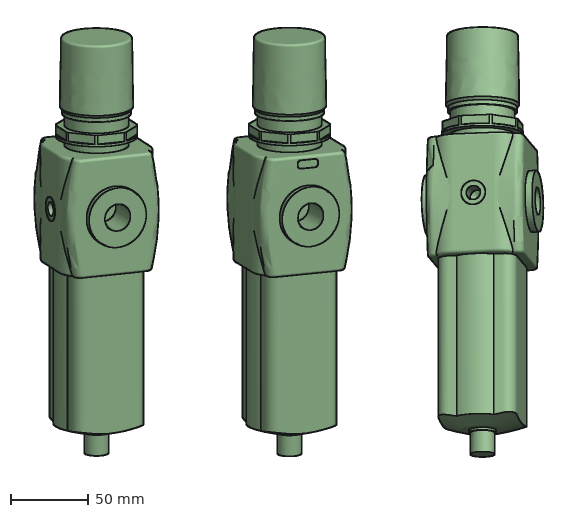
import cadquery as cq
import math


total_height = 279.6
drain_flange_bottom = 14.3
bowl_bottom = 16.0
body_bottom = 127.2
body_top = 207.0
nut_bottom = 212.8
collar_bottom = 228.2
collar_top = 231.0
knob_bottom = 233.0
body_height = body_top - body_bottom
port_level = (body_bottom + body_top) / 2

body_width = 63.8
body_depth = 65.0
bulge_drop = 3.5
bulge_half_height = 33.0
body_corner_radius = 5.3
body_edge_radius = 2.0
strip_half_width = 14.0
strip_side_radius = 16.0
strip_side_angle = 60.0

port_span = 73.0
port_diameter = 40.0
port_bore_diameter = 18.0
port_bore_depth = 25.2
gauge_seat_diameter = 16.0
gauge_seat_depth = 0.3
gauge_hole_diameter = 9.2
gauge_hole_depth = 14.0
drill_point_angle = 118.0
label_length = 14.3
label_height = 5.5
label_corner_radius = 2.2
label_depth = 0.5
label_level = 201.3

bowl_width = 51.7
bowl_depth = 57.0
bowl_side_flat = 34.5
bowl_corner_radius = 7.8
bowl_front_width = 24.3
bowl_front_radius = 24.3
bowl_floor_diameter = 28.8
bowl_rim_diameter = 50.3
bowl_rim_level = 19.3
bowl_cone_diameter = 67.0
bowl_cone_level = 22.5
drain_flange_diameter = 18.0
drain_diameter = 16.0

neck_diameter = 42.0
collar_diameter = 45.0
knob_bottom_diameter = 47.8
knob_middle_diameter = 47.3
knob_shoulder_diameter = 46.5
knob_top_diameter = 43.0
knob_edge_radius = (knob_shoulder_diameter - knob_top_diameter) / 2

nut_diameter = 53.0
nut_across_flats = 49.8
nut_flat_count = 8
washer_thickness = 1.7
nut_height = 7.5


def cylinder(diameter, bottom, top):
    return cq.Workplane("XY", origin=(0, 0, bottom)).circle(diameter / 2).extrude(top - bottom)


def make_bulged_block():
    """Block whose front and back bulge outward at mid height, with round corners."""
    peak = body_depth / 2
    arc_end = peak - bulge_drop
    arc_radius = (bulge_half_height**2 + bulge_drop**2) / (2 * bulge_drop)
    end_slope = bulge_half_height / (arc_radius - bulge_drop)
    half_height = body_height / 2
    end = arc_end - end_slope * (half_height - bulge_half_height)
    block = (
        cq.Workplane("YZ", origin=(-body_width / 2, 0, port_level))
        .moveTo(-end, -half_height)
        .lineTo(end, -half_height)
        .lineTo(arc_end, -bulge_half_height)
        .threePointArc((peak, 0), (arc_end, bulge_half_height))
        .lineTo(end, half_height)
        .lineTo(-end, half_height)
        .lineTo(-arc_end, bulge_half_height)
        .threePointArc((-peak, 0), (-arc_end, -bulge_half_height))
        .close()
        .extrude(body_width)
    )
    side_edges = block.faces("<X or >X").edges("not |Y")
    return side_edges.fillet(body_corner_radius)


def make_strip_column():
    """Upright column that carries the flat front and back strips and their rounded sides."""
    front = body_depth / 2

    def side_point(angle):
        x = strip_half_width + strip_side_radius * math.sin(math.radians(angle))
        y = front - strip_side_radius * (1 - math.cos(math.radians(angle)))
        return x, y

    mid_x, mid_y = side_point(strip_side_angle / 2)
    end_x, end_y = side_point(strip_side_angle)
    return (
        cq.Workplane("XY", origin=(0, 0, body_bottom))
        .moveTo(-strip_half_width, front)
        .lineTo(strip_half_width, front)
        .threePointArc((mid_x, mid_y), (end_x, end_y))
        .lineTo(end_x, -end_y)
        .threePointArc((mid_x, -mid_y), (strip_half_width, -front))
        .lineTo(-strip_half_width, -front)
        .threePointArc((-mid_x, -mid_y), (-end_x, -end_y))
        .lineTo(-end_x, end_y)
        .threePointArc((-mid_x, mid_y), (-strip_half_width, front))
        .close()
        .extrude(body_height)
    )


def make_body():
    body = make_bulged_block().union(make_strip_column())
    return body.faces("<Z or >Z").edges().fillet(body_edge_radius)


def make_ports():
    return (
        cq.Workplane("YZ", origin=(-port_span / 2, 0, port_level))
        .circle(port_diameter / 2)
        .extrude(port_span)
    )


def make_port_bore(side):
    """Blind bore into the port face on the given side of X: -1 for inlet, 1 for outlet."""
    return (
        cq.Workplane("YZ", origin=(side * port_span / 2, 0, port_level))
        .circle(port_bore_diameter / 2)
        .extrude(-side * port_bore_depth)
    )


def make_gauge_hole():
    """Shallow seat and drilled blind hole with a conical end, in the front strip."""
    front = -body_depth / 2
    radius = gauge_hole_diameter / 2
    seat_radius = gauge_seat_diameter / 2
    tip_depth = gauge_hole_depth + radius / math.tan(math.radians(drill_point_angle / 2))
    return (
        cq.Workplane("XY", origin=(0, 0, port_level))
        .moveTo(0, front)
        .lineTo(seat_radius, front)
        .lineTo(seat_radius, front + gauge_seat_depth)
        .lineTo(radius, front + gauge_seat_depth)
        .lineTo(radius, front + gauge_hole_depth)
        .lineTo(0, front + tip_depth)
        .close()
        .revolve(360, (0, 0), (0, 1))
    )


def make_label_recess():
    return (
        cq.Workplane("YZ", origin=(-body_width / 2, 0, label_level))
        .rect(label_length, label_height)
        .extrude(label_depth)
        .edges("|X")
        .fillet(label_corner_radius)
    )


def make_bowl():
    """Bowl with flat sides and bowed front and back, closed below by a shallow two-step cone."""
    half_flat = bowl_side_flat / 2
    half_front = bowl_front_width / 2
    ledge = half_flat + bowl_corner_radius
    block = (
        cq.Workplane("XY", origin=(0, 0, bowl_bottom))
        .rect(bowl_width, 2 * ledge)
        .extrude(body_bottom - bowl_bottom)
        .edges("|Z")
        .fillet(bowl_corner_radius)
    )
    bow_ledge = bowl_depth / 2 - bowl_front_radius + math.sqrt(bowl_front_radius**2 - half_front**2)
    bow = (
        cq.Workplane("XY", origin=(0, 0, bowl_bottom))
        .moveTo(-half_front, bow_ledge)
        .threePointArc((0, bowl_depth / 2), (half_front, bow_ledge))
        .lineTo(half_front, -bow_ledge)
        .threePointArc((0, -bowl_depth / 2), (-half_front, -bow_ledge))
        .close()
        .extrude(body_bottom - bowl_bottom)
    )
    envelope = (
        cq.Workplane("XZ")
        .moveTo(0, bowl_bottom)
        .lineTo(bowl_floor_diameter / 2, bowl_bottom)
        .lineTo(bowl_rim_diameter / 2, bowl_rim_level)
        .lineTo(bowl_cone_diameter / 2, bowl_cone_level)
        .lineTo(bowl_cone_diameter / 2, body_bottom)
        .lineTo(0, body_bottom)
        .close()
        .revolve(360, (0, 0), (0, 1))
    )
    return block.union(bow).intersect(envelope)


def make_drain():
    flange = cylinder(drain_flange_diameter, drain_flange_bottom, bowl_bottom)
    return cylinder(drain_diameter, 0, drain_flange_bottom).union(flange)


def make_neck_and_knob():
    """Round neck, collar and slightly barrelled knob as one turned shape."""
    top_radius = knob_top_diameter / 2
    shoulder_radius = knob_shoulder_diameter / 2
    shoulder = total_height - knob_edge_radius
    round_offset = knob_edge_radius * math.sqrt(0.5)
    return (
        cq.Workplane("XZ")
        .moveTo(0, body_top)
        .lineTo(neck_diameter / 2, body_top)
        .lineTo(neck_diameter / 2, collar_bottom)
        .lineTo(collar_diameter / 2, collar_bottom)
        .lineTo(collar_diameter / 2, collar_top)
        .lineTo(knob_bottom_diameter / 2, knob_bottom)
        .threePointArc((knob_middle_diameter / 2, (knob_bottom + shoulder) / 2), (shoulder_radius, shoulder))
        .threePointArc((top_radius + round_offset, shoulder + round_offset), (top_radius, total_height))
        .lineTo(0, total_height)
        .close()
        .revolve(360, (0, 0), (0, 1))
    )


def make_regulator():
    solid = make_body().union(make_ports()).union(make_bowl()).union(make_drain())
    solid = solid.union(make_neck_and_knob())
    for recess in (make_port_bore(-1), make_port_bore(1), make_gauge_hole(), make_label_recess()):
        solid = solid.cut(recess)
    return solid


def make_nut():
    """Ring nut: eight flats on a round blank above a thin round washer face."""
    nut_top = nut_bottom + nut_height
    octagon = (
        cq.Workplane("XY", origin=(0, 0, nut_bottom))
        .polygon(nut_flat_count, nut_across_flats, circumscribed=True)
        .extrude(nut_height)
    )
    nut = cylinder(nut_diameter, nut_bottom, nut_top).intersect(octagon)
    nut = nut.union(cylinder(nut_diameter, nut_bottom, nut_bottom + washer_thickness))
    return nut.cut(cylinder(neck_diameter, nut_bottom, nut_top))


regulator = make_regulator()
nut = make_nut()
result = cq.Compound.makeCompound([regulator.val(), nut.val()])